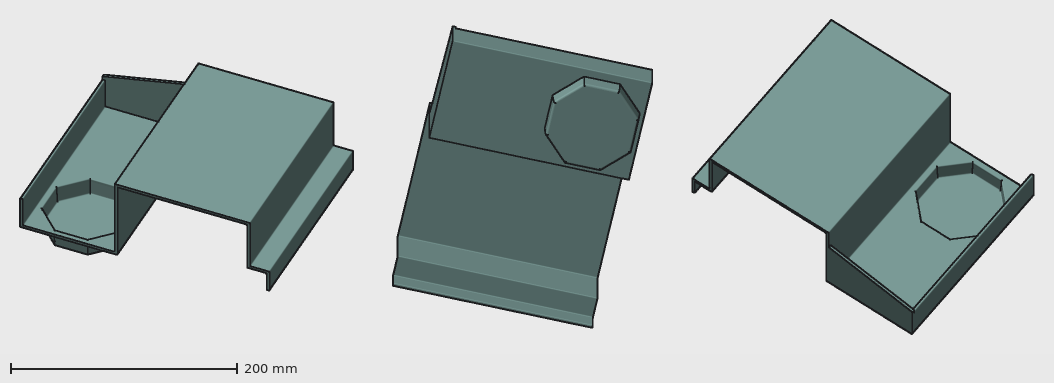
import cadquery as cq
import math

length = 241.5
depth = 181.0
height = 97.0

sheet = 3.0
edge_round = 1.0
tray_bottom = 15.7
tray_wall_top = 48.8
riser_x = 91.5
hat_end_x = 222.7
ledge_top = 47.3
lip_bottom = 25.0

plate_low = 52.5
plate_high = 73.5

cup_x = 47.0
cup_y = 44.0
cup_top_width = 79.0
cup_bottom_width = 76.8
cup_edge_round = 2.0
cup_floor = 2.5
cavity_top_width = 76.3
cavity_floor_width = 74.9
cavity_round = 1.0

tray_floor = tray_bottom + sheet


def folded_sheet():
    """Tray, hat and stepped lip as one constant-thickness section along Y."""
    riser_inner = riser_x + sheet
    hat_inner = hat_end_x - sheet
    section = [
        (0, tray_wall_top),
        (0, tray_bottom),
        (riser_inner, tray_bottom),
        (riser_inner, height - sheet),
        (hat_inner, height - sheet),
        (hat_inner, ledge_top - sheet),
        (length - sheet, ledge_top - sheet),
        (length - sheet, lip_bottom),
        (length, lip_bottom),
        (length, ledge_top),
        (hat_end_x, ledge_top),
        (hat_end_x, height),
        (riser_x, height),
        (riser_x, tray_floor),
        (sheet, tray_floor),
        (sheet, tray_wall_top),
    ]
    body = cq.Workplane("XZ").polyline(section).close().extrude(-depth)
    return body.edges("|Y").fillet(edge_round)


def end_plate():
    """Plate with a sloping top edge at the back of the tray."""
    outline = [
        (0, tray_bottom),
        (riser_x + sheet / 2, tray_bottom),
        (riser_x + sheet / 2, plate_high),
        (riser_x, plate_high),
        (0, plate_low),
    ]
    plate = cq.Workplane("XZ", origin=(0, depth - sheet, 0)).polyline(outline).close().extrude(-sheet)
    return plate.edges("|Y and <X").fillet(edge_round)


def octagon_frustum(bottom_z, bottom_width, top_z, top_width):
    """Octagonal block with flats facing X and Y, tapered between two widths."""
    def outline(width):
        radius = width / 2 / math.cos(math.pi / 8)
        angles = [math.pi / 8 + i * math.pi / 4 for i in range(8)]
        return [(radius * math.cos(a), radius * math.sin(a)) for a in angles]

    return (
        cq.Workplane("XY", origin=(cup_x, cup_y, bottom_z))
        .polyline(outline(bottom_width)).close()
        .workplane(offset=top_z - bottom_z)
        .polyline(outline(top_width)).close()
        .loft(ruled=True)
    )


cup = octagon_frustum(0, cup_bottom_width, tray_bottom, cup_top_width)
cup = cup.faces("<Z").edges().fillet(cup_edge_round)
cavity = octagon_frustum(cup_floor, cavity_floor_width, tray_bottom, cavity_top_width)
cavity = cavity.faces("<Z").edges().fillet(cavity_round)
opening = octagon_frustum(tray_bottom, cavity_top_width, tray_floor, cavity_top_width)

result = folded_sheet().union(end_plate()).union(cup).cut(cavity).cut(opening)

reach = cup_top_width / 2
rim = cq.selectors.BoxSelector(
    (cup_x - reach, cup_y - reach, tray_floor - sheet / 10),
    (cup_x + reach, cup_y + reach, tray_floor + sheet / 10),
)
result = result.edges(rim).fillet(cavity_round)